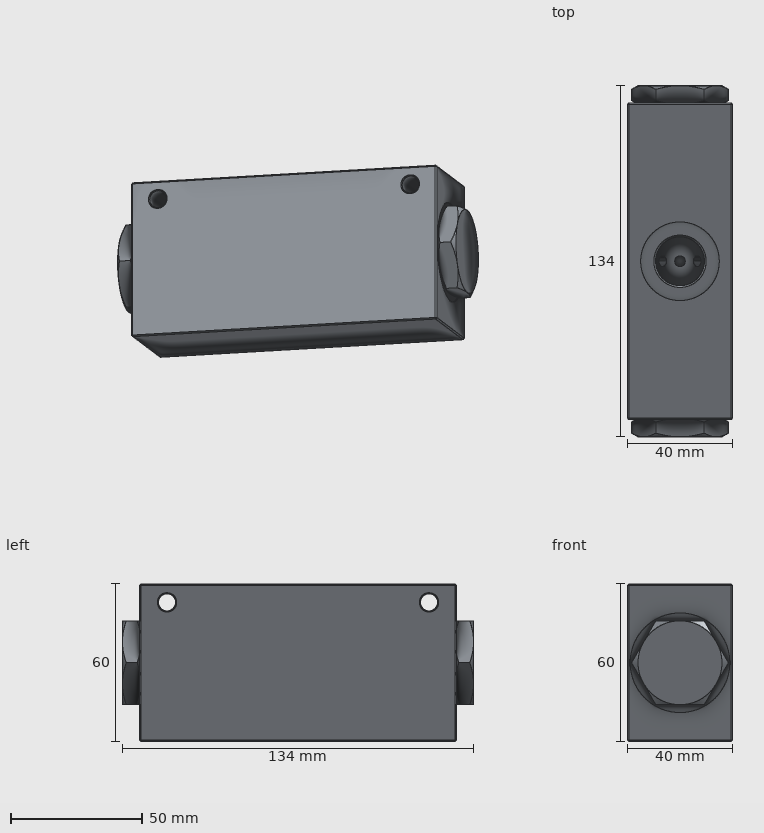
import cadquery as cq
import math

block_width = 40.0
block_height = 60.0
overall_length = 134.0
head_projection = 6.5
block_length = overall_length - 2 * head_projection
block_edge_chamfer = 0.5

hex_across_flats = 32.0
hex_across_corners = hex_across_flats / math.cos(math.radians(30))
hex_chamfer_angle = 30.0
end_spotface_diameter = 38.0
end_spotface_depth = 0.5

port_diameter = 18.6
port_mouth_chamfer = 0.7
port_spotface_diameter = 30.0
port_spotface_depth = 0.5

spool_diameter = 19.0
spool_length = port_spotface_diameter
radial_hole_diameter = 4.0
radial_hole_depth = 4.2
radial_hole_angles = (-45, 0, 45)

mount_hole_diameter = 6.5
mount_hole_chamfer = 0.4
mount_hole_spacing = 100.0
mount_hole_edge_distance = 7.0


def make_block():
    block = cq.Workplane("XY").box(block_width, block_length, block_height)
    return block.edges().chamfer(block_edge_chamfer)


def cylinder_along_y(diameter, length):
    """Cylinder on the Y axis, centred on the origin."""
    return cq.Workplane("XZ").circle(diameter / 2).extrude(length / 2, both=True)


def make_hex_head():
    """Plug head on the +Y end, with conical chamfers cutting the corners of both faces."""
    thickness = head_projection + end_spotface_depth
    seat_y = block_length / 2 - end_spotface_depth
    outer_y = seat_y + thickness
    hexagon = (
        cq.Workplane("XZ", origin=(0, seat_y, 0))
        .polygon(6, hex_across_corners)
        .extrude(-thickness)
    )
    face_radius = hex_across_flats / 2
    corner_radius = hex_across_corners / 2
    chamfer_height = (corner_radius - face_radius) * math.tan(math.radians(hex_chamfer_angle))
    envelope = (
        cq.Workplane("XY")
        .moveTo(0, seat_y)
        .lineTo(face_radius, seat_y)
        .lineTo(corner_radius, seat_y + chamfer_height)
        .lineTo(corner_radius, outer_y - chamfer_height)
        .lineTo(face_radius, outer_y)
        .lineTo(0, outer_y)
        .close()
        .revolve(360, (0, 0, 0), (0, 1, 0))
    )
    return hexagon.intersect(envelope)


def add_plug_heads(body):
    spotface_floor_spacing = block_length - 2 * end_spotface_depth
    spotfaces = cylinder_along_y(end_spotface_diameter, block_length).cut(
        cylinder_along_y(end_spotface_diameter, spotface_floor_spacing)
    )
    head = make_hex_head()
    return body.cut(spotfaces).union(head).union(head.mirror("XZ"))


def make_port():
    """Port from the top face down to the spool axis, with a spotface and a chamfered mouth."""
    top_z = block_height / 2
    mouth_z = top_z - port_spotface_depth
    port_radius = port_diameter / 2
    mouth_radius = port_radius + port_mouth_chamfer
    spotface_radius = port_spotface_diameter / 2
    return (
        cq.Workplane("XZ")
        .lineTo(port_radius, 0)
        .lineTo(port_radius, mouth_z - port_mouth_chamfer)
        .lineTo(mouth_radius, mouth_z)
        .lineTo(spotface_radius, mouth_z)
        .lineTo(spotface_radius, top_z)
        .lineTo(0, top_z)
        .close()
        .revolve(360, (0, 0, 0), (0, 1, 0))
    )


def make_radial_holes():
    """Blind holes drilled into the spool, fanned around its axis."""
    spool_radius = spool_diameter / 2
    upward_hole = (
        cq.Workplane("XY", origin=(0, 0, spool_radius - radial_hole_depth))
        .circle(radial_hole_diameter / 2)
        .extrude(radial_hole_depth)
    )
    return [upward_hole.rotate((0, 0, 0), (0, 1, 0), angle) for angle in radial_hole_angles]


def make_mount_hole(y):
    """Through hole along X, chamfered at both mouths."""
    half_width = block_width / 2
    hole_radius = mount_hole_diameter / 2
    mouth_radius = hole_radius + mount_hole_chamfer
    hole = (
        cq.Workplane("XY")
        .moveTo(-half_width, 0)
        .lineTo(-half_width, mouth_radius)
        .lineTo(-half_width + mount_hole_chamfer, hole_radius)
        .lineTo(half_width - mount_hole_chamfer, hole_radius)
        .lineTo(half_width, mouth_radius)
        .lineTo(half_width, 0)
        .close()
        .revolve(360, (0, 0, 0), (1, 0, 0))
    )
    return hole.translate((0, y, block_height / 2 - mount_hole_edge_distance))


result = add_plug_heads(make_block())
spool = cylinder_along_y(spool_diameter, spool_length)
result = result.cut(make_port().cut(spool))
for radial_hole in make_radial_holes():
    result = result.cut(radial_hole)
for side in (-1, 1):
    result = result.cut(make_mount_hole(side * mount_hole_spacing / 2))